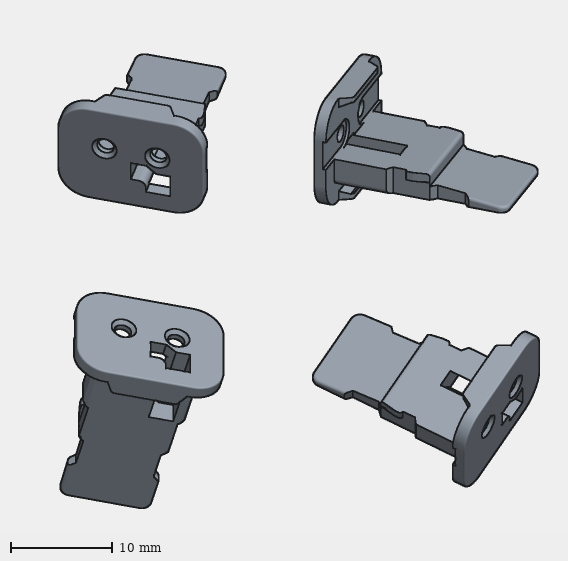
import cadquery as cq

FLANGE_WIDTH = 14.95
FLANGE_HEIGHT = 11.5
FLANGE_THICKNESS = 1.32
FLANGE_CORNER_RADIUS = 3.13
FLANGE_EDGE_FILLET = 0.2

TAB_END_Y = 2.61
TAB_ROOT_HALF_WIDTH = 4.05
TAB_END_HALF_WIDTH = 3.3
TAB_CORNER_RADIUS = 0.46
TAB_ROOT_THICKNESS = 0.99
TAB_END_THICKNESS = 0.58
TAB_FLAT_LENGTH = 0.23

LENGTH = 19.35
PLUG_BOTTOM_Z = 2.28
SHANK_TOP_Z = 5.22
SHANK_HALF_WIDTH = 5.2
SHANK_BOTTOM_FILLET = 0.65
SHANK_CHAMFER_START_Y = 6.8
HEAD_START_Y = 7.3
HEAD_END_Y = 11.18
HEAD_HALF_WIDTH = 4.55
HEAD_TOP_FILLET = 0.39

RIDGE_BOTTOM_Z = 4.25
RIDGE_HALF_WIDTH = 4.85
RIDGE_ROOT_Y = 8.67
RIDGE_CREST_START_Y = 8.75
RIDGE_TAPER_START_Y = 9.5
RIDGE_CORNER_RADIUS = 0.29

BLADE_HALF_WIDTH = 4.62
BLADE_CORNER_RADIUS = 1.0
BLADE_FILLET = 0.29
BLADE_ROOT_TOP_Z = 3.85
BLADE_TIP_TOP_Z = 3.02
WAIST_HALF_WIDTH = 3.95
WAIST_START_Y = 11.76
WAIST_END_Y = 14.73
WAIST_CHAMFER_END_Y = 15.33

HOLE_X = 2.7
HOLE_Z = 6.75
HOLE_DIAMETER = 1.7
COUNTERSINK_DIAMETER = 2.52
COUNTERSINK_DEPTH = (COUNTERSINK_DIAMETER - HOLE_DIAMETER) / 2
RELIEF_RADIUS = HOLE_Z - SHANK_TOP_Z
RELIEF_FLOOR_Y = 0.99

OPENING_DEPTH = 7.0
OPENING_RIGHT_X = 4.02
OPENING_TOP_Z = 5.5
OPENING_SHOULDER_Z = 4.65
OPENING_SLOPE_START_X = 1.59
OPENING_SLOPE_END_X = 2.6
OPENING_STEP_X = 1.55
OPENING_STEP_Z = 3.4
OPENING_STEP_RADIUS = 0.8
OPENING_BOTTOM_Z = 2.1


def box(x_range, y_range, z_range):
    """Box spanning the given (low, high) ranges."""
    sizes = [high - low for low, high in (x_range, y_range, z_range)]
    corner = (x_range[0], y_range[0], z_range[0])
    return cq.Workplane("XY").box(*sizes, centered=False).translate(corner)


def plan_prism(points, bottom_z, top_z):
    """Prism with an XY outline between two heights."""
    return cq.Workplane("XY", origin=(0, 0, bottom_z)).polyline(points).close().extrude(top_z - bottom_z)


def side_prism(points, half_width):
    """Prism with a YZ outline, centred on X = 0."""
    return cq.Workplane("YZ").polyline(points).close().extrude(half_width, both=True)


def front_plane(y):
    """XZ sketch plane at the given Y, whose extrusions run toward +Y when negative."""
    return cq.Workplane("XZ", origin=(0, y, 0))


def make_flange():
    """Plate with rounded corners and a small fillet around its outer face."""
    plate = (
        front_plane(0)
        .center(0, FLANGE_HEIGHT / 2)
        .rect(FLANGE_WIDTH, FLANGE_HEIGHT)
        .extrude(-FLANGE_THICKNESS)
        .edges("|Y")
        .fillet(FLANGE_CORNER_RADIUS)
    )
    return plate.faces("<Y").edges().fillet(FLANGE_EDGE_FILLET)


def make_top_tab():
    """Trapezoidal tab that thins from its root on the flange to its free end."""
    plan = plan_prism(
        [
            (-TAB_ROOT_HALF_WIDTH, FLANGE_THICKNESS),
            (TAB_ROOT_HALF_WIDTH, FLANGE_THICKNESS),
            (TAB_END_HALF_WIDTH, TAB_END_Y),
            (-TAB_END_HALF_WIDTH, TAB_END_Y),
        ],
        FLANGE_HEIGHT - TAB_ROOT_THICKNESS,
        FLANGE_HEIGHT,
    )
    plan = plan.edges("|Z and >Y").fillet(TAB_CORNER_RADIUS)
    side = side_prism(
        [
            (FLANGE_THICKNESS, FLANGE_HEIGHT),
            (FLANGE_THICKNESS, FLANGE_HEIGHT - TAB_ROOT_THICKNESS),
            (TAB_END_Y - TAB_FLAT_LENGTH, FLANGE_HEIGHT - TAB_END_THICKNESS),
            (TAB_END_Y, FLANGE_HEIGHT - TAB_END_THICKNESS),
            (TAB_END_Y, FLANGE_HEIGHT),
        ],
        TAB_ROOT_HALF_WIDTH,
    )
    return plan.intersect(side)


def make_shank():
    """Block with rounded bottom edges whose front corners are chamfered down to the head width."""
    block = box(
        (-SHANK_HALF_WIDTH, SHANK_HALF_WIDTH),
        (FLANGE_THICKNESS, HEAD_START_Y),
        (PLUG_BOTTOM_Z, SHANK_TOP_Z),
    )
    block = block.edges("|Y and <Z").fillet(SHANK_BOTTOM_FILLET)
    outline = plan_prism(
        [
            (-SHANK_HALF_WIDTH, FLANGE_THICKNESS),
            (SHANK_HALF_WIDTH, FLANGE_THICKNESS),
            (SHANK_HALF_WIDTH, SHANK_CHAMFER_START_Y),
            (HEAD_HALF_WIDTH, HEAD_START_Y),
            (-HEAD_HALF_WIDTH, HEAD_START_Y),
            (-SHANK_HALF_WIDTH, SHANK_CHAMFER_START_Y),
        ],
        PLUG_BOTTOM_Z,
        SHANK_TOP_Z,
    )
    return block.intersect(outline)


def make_head():
    """Block with latch ridges along its upper sides and a rounded top front edge."""
    block = box(
        (-HEAD_HALF_WIDTH, HEAD_HALF_WIDTH),
        (HEAD_START_Y, HEAD_END_Y),
        (PLUG_BOTTOM_Z, SHANK_TOP_Z),
    )
    ridges = plan_prism(
        [
            (-RIDGE_HALF_WIDTH, RIDGE_CREST_START_Y),
            (-HEAD_HALF_WIDTH, RIDGE_ROOT_Y),
            (HEAD_HALF_WIDTH, RIDGE_ROOT_Y),
            (RIDGE_HALF_WIDTH, RIDGE_CREST_START_Y),
            (RIDGE_HALF_WIDTH, RIDGE_TAPER_START_Y),
            (HEAD_HALF_WIDTH, HEAD_END_Y),
            (-HEAD_HALF_WIDTH, HEAD_END_Y),
            (-RIDGE_HALF_WIDTH, RIDGE_TAPER_START_Y),
        ],
        RIDGE_BOTTOM_Z,
        SHANK_TOP_Z,
    )
    ridges = ridges.faces("<X or >X").edges("<Y").fillet(RIDGE_CORNER_RADIUS)
    return block.union(ridges).faces(">Y").edges(">Z").fillet(HEAD_TOP_FILLET)


def make_blade():
    """Tapered blade with rounded rims, narrowed to a square-edged waist next to the head."""
    blade = side_prism(
        [
            (HEAD_END_Y, PLUG_BOTTOM_Z),
            (LENGTH, PLUG_BOTTOM_Z),
            (LENGTH, BLADE_TIP_TOP_Z),
            (HEAD_END_Y, BLADE_ROOT_TOP_Z),
        ],
        BLADE_HALF_WIDTH,
    )
    blade = blade.edges("|Z and >Y").fillet(BLADE_CORNER_RADIUS)
    blade = blade.faces("<Z or >Z").edges("not <Y").fillet(BLADE_FILLET)

    for side in (-1, 1):
        notch = plan_prism(
            [
                (side * HEAD_HALF_WIDTH, HEAD_END_Y),
                (side * WAIST_HALF_WIDTH, WAIST_START_Y),
                (side * WAIST_HALF_WIDTH, WAIST_END_Y),
                (side * BLADE_HALF_WIDTH, WAIST_CHAMFER_END_Y),
                (side * SHANK_HALF_WIDTH, WAIST_CHAMFER_END_Y),
                (side * SHANK_HALF_WIDTH, HEAD_END_Y),
            ],
            PLUG_BOTTOM_Z,
            SHANK_TOP_Z,
        )
        blade = blade.cut(notch)
    return blade


def make_screw_hole(side):
    """Cutter for one countersunk hole and the round-ended relief running out to that side."""
    hole = (
        front_plane(0)
        .center(side * HOLE_X, HOLE_Z)
        .circle(HOLE_DIAMETER / 2)
        .extrude(-FLANGE_THICKNESS)
    )
    sink = (
        front_plane(0)
        .center(side * HOLE_X, HOLE_Z)
        .circle(COUNTERSINK_DIAMETER / 2)
        .workplane(offset=-COUNTERSINK_DEPTH)
        .circle(HOLE_DIAMETER / 2)
        .loft()
    )
    relief_depth = FLANGE_THICKNESS - RELIEF_FLOOR_Y
    relief_end = (
        front_plane(RELIEF_FLOOR_Y)
        .center(side * HOLE_X, HOLE_Z)
        .circle(RELIEF_RADIUS)
        .extrude(-relief_depth)
    )
    relief_run = box(
        sorted((side * HOLE_X, side * FLANGE_WIDTH / 2)),
        (RELIEF_FLOOR_Y, FLANGE_THICKNESS),
        (HOLE_Z - RELIEF_RADIUS, HOLE_Z + RELIEF_RADIUS),
    )
    return hole.union(sink).union(relief_end).union(relief_run)


def make_opening():
    """Cutter with a sloped shoulder at the upper right and a rounded step at the lower left."""
    return (
        front_plane(0)
        .moveTo(0, OPENING_TOP_Z)
        .lineTo(OPENING_SLOPE_START_X, OPENING_TOP_Z)
        .lineTo(OPENING_SLOPE_END_X, OPENING_SHOULDER_Z)
        .lineTo(OPENING_RIGHT_X, OPENING_SHOULDER_Z)
        .lineTo(OPENING_RIGHT_X, OPENING_BOTTOM_Z)
        .lineTo(OPENING_STEP_X, OPENING_BOTTOM_Z)
        .lineTo(OPENING_STEP_X, OPENING_STEP_Z - OPENING_STEP_RADIUS)
        .radiusArc((OPENING_STEP_X - OPENING_STEP_RADIUS, OPENING_STEP_Z), -OPENING_STEP_RADIUS)
        .lineTo(0, OPENING_STEP_Z)
        .close()
        .extrude(-OPENING_DEPTH)
    )


flange = make_flange()
for hole_side in (-1, 1):
    flange = flange.cut(make_screw_hole(hole_side))

top_tab = make_top_tab()
bottom_tab = top_tab.mirror("XY", (0, 0, FLANGE_HEIGHT / 2))

result = flange.union(top_tab).union(bottom_tab)
result = result.union(make_shank()).union(make_head()).union(make_blade())
result = result.cut(make_opening())